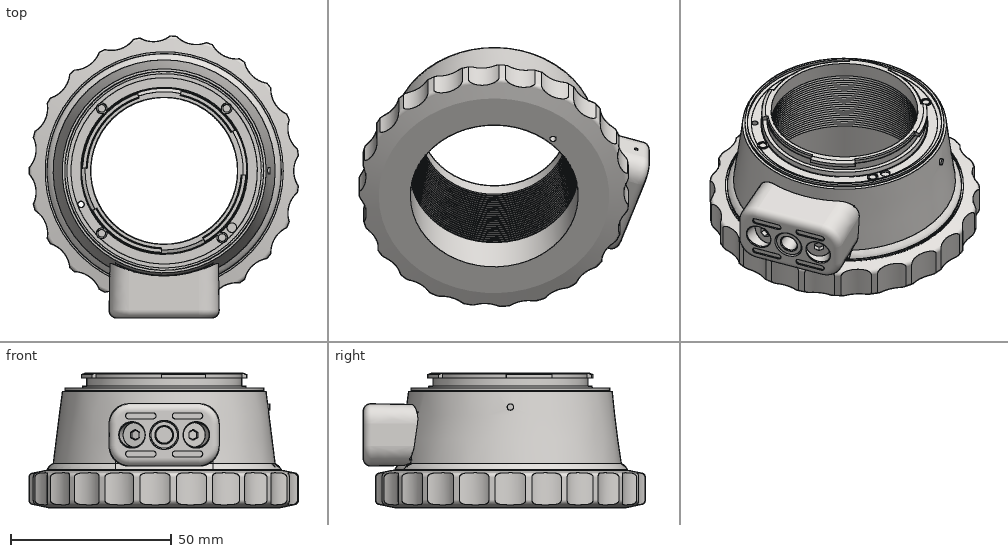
import cadquery as cq
import math

grip_radius = 42.2
grip_height = 11.95
tooth_count = 23
tooth_half_angle = 1.36
valley_radius = 40.5
face_cone_radius = 36.0
shoulder_radius = 40.9
face_cone_rise = 1.05
tooth_rounding_height = 1.3
tooth_rounding_bulge = 0.36
groove_outer_radius = 37.2
groove_floor = 11.3

cone_top = 36.4
cone_top_radius = 31.85
cone_foot = 13.9
cone_foot_radius = 34.67
flare_radius = 36.6
flare_sag = 0.22

neck_radius = 30.9
plate_bottom = 36.6
plate_top = 36.75
plate_radius = 31.1
plate_step_radius = 29.1
plate_step_depth = 0.1
lip_inner_radius = 30.35
lip_top = 37.5
ridge_top = 38.0
ridge_radius = 25.8
ridge_bevel = 0.3
ridge_gap = 0.3
ridge_gap_depth = 0.3
collar_radius = 24.25
flange_bottom = 40.5
overall_height = 42.1
flange_radius = 24.4
flange_bevel = 0.35
claw_radius = 25.85
claw_top_radius = 24.7
claw_bevel_height = 0.5
claw_sectors = [(-3, 30), (78, 109), (178, 209), (268, 300)]

throat_radius = 22.9
ridges_top = 37.1
ridge_count = 23
ridge_pitch = 1.0
ridge_depth = 0.5
lower_bore_radius = 26.2

mount_circle_radius = 27.6
mount_screw_angles = [45, 135, 225, -49]
mount_screw_radius = 1.65
mount_screw_gap = 0.45
mount_screw_gap_depth = 0.3
index_dimple_angle = -40
index_dimple_radius = 1.5
index_dimple_depth = 0.8
pin_hole_circle_radius = 28.0
pin_hole_angle = 202
pin_hole_radius = 0.95
index_stud_radius = 1.0
index_stud_height = 31.5
index_stud_reach = 33.0

foot_width = 34.5
foot_height = 19.6
foot_corner = 6.3
foot_front = -46.0
foot_length = 24.0
foot_center = 22.8
foot_taper = 1.0
foot_edge_rounding = 2.4
foot_gap = 0.5
seat_half_width = 15.2
seat_depth = 0.45
seat_top = 30.0
slot_length = 9.5
slot_width = 1.9
slot_depth = 0.5
slot_offset_x = 7.3
slot_offset_z = 5.95
thread_radius = 2.6
thread_bevel = 0.3
thread_depth = 8.0
insert_radius = 4.15
insert_bevel = 0.4
screw_offset = 10.05
screw_tilt = 18.0
screw_head_radius = 3.85
screw_mouth_bevel = 0.3
screw_head_depth = 2.85
hex_across_corners = 3.3
hex_depth = 1.6
set_screw_y = -41.0
set_screw_radius = 0.55
set_screw_depth = 2.0


def polar(radius, angle):
    turn = math.radians(angle)
    return (radius * math.cos(turn), radius * math.sin(turn))


def tube(bottom, top, outer, inner):
    ring = cq.Workplane("XY").workplane(offset=bottom).circle(outer)
    return ring.circle(inner).extrude(top - bottom)


def disc(bottom, top, radius):
    return cq.Workplane("XY").workplane(offset=bottom).circle(radius).extrude(top - bottom)


def cone_disc(bottom, top, bottom_radius, top_radius):
    profile = [(0, bottom), (bottom_radius, bottom), (top_radius, top), (0, top)]
    return cq.Workplane("XZ").polyline(profile).close().revolve(360, (0, 0), (0, 1))


def cone_shell(offset):
    """Solid cone with its flared base, its side moved outward by the offset."""
    return (
        cq.Workplane("XZ")
        .moveTo(0, grip_height)
        .lineTo(flare_radius + offset, grip_height)
        .sagittaArc((cone_foot_radius + offset, cone_foot), -flare_sag)
        .lineTo(cone_top_radius + offset, cone_top)
        .lineTo(0, cone_top)
        .close()
        .revolve(360, (0, 0), (0, 1))
    )


def make_grip_ring():
    upper_shoulder = grip_height - face_cone_rise
    lower_land = face_cone_rise + tooth_rounding_height
    ring = (
        cq.Workplane("XZ")
        .lineTo(face_cone_radius, 0)
        .lineTo(shoulder_radius, face_cone_rise)
        .sagittaArc((grip_radius, lower_land), -tooth_rounding_bulge)
        .lineTo(grip_radius, grip_height - lower_land)
        .sagittaArc((shoulder_radius, upper_shoulder), -tooth_rounding_bulge)
        .lineTo(face_cone_radius, grip_height)
        .lineTo(0, grip_height)
        .close()
        .revolve(360, (0, 0), (0, 1))
    )
    pitch = 360 / tooth_count
    half_scallop = math.radians(pitch / 2 - tooth_half_angle)
    half_chord = grip_radius * math.sin(half_scallop)
    scallop_sag = grip_radius * math.cos(half_scallop) - valley_radius
    scallop_radius = (half_chord**2 + scallop_sag**2) / (2 * scallop_sag)
    for index in range(tooth_count):
        x, y = polar(valley_radius + scallop_radius, index * pitch)
        ring = ring.cut(disc(0, grip_height, scallop_radius).translate((x, y, 0)))
    return ring.cut(tube(groove_floor, grip_height, groove_outer_radius, flare_radius))


def make_claw(start, end):
    bevel_bottom = overall_height - claw_bevel_height
    return (
        cq.Workplane("XZ")
        .moveTo(throat_radius, flange_bottom)
        .lineTo(claw_radius, flange_bottom)
        .lineTo(claw_radius, bevel_bottom)
        .lineTo(claw_top_radius, overall_height)
        .lineTo(throat_radius, overall_height)
        .close()
        .revolve(end - start, (0, 0), (0, 1))
        .rotate((0, 0, 0), (0, 0, 1), start)
    )


def make_mount():
    mount = disc(cone_top, plate_bottom, neck_radius)
    mount = mount.union(disc(plate_bottom, plate_top, plate_radius))
    step_floor = plate_top - plate_step_depth
    mount = mount.cut(tube(step_floor, plate_top, lip_inner_radius, plate_step_radius))
    mount = mount.union(tube(plate_top, lip_top, plate_radius, lip_inner_radius))
    ridge_gap_floor = plate_top - ridge_gap_depth
    mount = mount.cut(tube(ridge_gap_floor, plate_top, ridge_radius + ridge_gap, ridge_radius))
    mount = mount.union(cone_disc(plate_top, ridge_top, ridge_radius, ridge_radius - ridge_bevel))
    mount = mount.union(disc(ridge_top, flange_bottom, collar_radius))
    flange = disc(flange_bottom, overall_height, flange_radius)
    mount = mount.union(flange.faces(">Z").edges().chamfer(flange_bevel))
    for start, end in claw_sectors:
        mount = mount.union(make_claw(start, end))
    return mount


def make_bore():
    """Throat, saw-tooth ridges that widen downward, and the plain lower bore."""
    ridge_growth = (lower_bore_radius - throat_radius) / ridge_count
    bore = cq.Workplane("XZ").moveTo(0, overall_height).lineTo(throat_radius, overall_height)
    bore = bore.lineTo(throat_radius, ridges_top)
    for index in range(1, ridge_count + 1):
        crest = throat_radius + ridge_growth * (index - 1)
        next_crest = throat_radius + ridge_growth * index
        bore = bore.lineTo(crest + ridge_depth, ridges_top - ridge_pitch * (index - 1))
        bore = bore.lineTo(next_crest, ridges_top - ridge_pitch * index)
    return (
        bore.lineTo(lower_bore_radius, 0)
        .lineTo(0, 0)
        .close()
        .revolve(360, (0, 0), (0, 1))
    )


def make_seat_cut():
    """Shallow seat in the cone wall that takes the tongue of the foot."""
    seat = cq.Workplane("XY").box(
        2 * seat_half_width, flare_radius, seat_top - grip_height, centered=(True, False, False)
    )
    return seat.translate((0, -flare_radius, grip_height)).cut(cone_shell(-seat_depth))


def make_adapter():
    adapter = make_grip_ring().union(cone_shell(0)).union(make_mount()).cut(make_bore())
    adapter = adapter.cut(make_seat_cut())

    for angle in mount_screw_angles:
        x, y = polar(mount_circle_radius, angle)
        gap = tube(
            plate_top - mount_screw_gap_depth,
            ridge_top,
            mount_screw_radius,
            mount_screw_radius - mount_screw_gap,
        )
        adapter = adapter.cut(gap.translate((x, y, 0)))

    x, y = polar(mount_circle_radius, index_dimple_angle)
    dimple = disc(plate_top - index_dimple_depth, ridge_top, index_dimple_radius)
    adapter = adapter.cut(dimple.translate((x, y, 0)))

    x, y = polar(pin_hole_circle_radius, pin_hole_angle)
    adapter = adapter.cut(disc(0, overall_height, pin_hole_radius).translate((x, y, 0)))

    stud_start = cone_top_radius - index_stud_radius
    stud = (
        cq.Workplane("YZ", origin=(stud_start, 0, index_stud_height))
        .circle(index_stud_radius)
        .extrude(index_stud_reach - stud_start)
    )
    return adapter.union(stud)


def make_foot_block():
    front_plane = cq.Plane(origin=(0, foot_front, foot_center), xDir=(-1, 0, 0), normal=(0, 1, 0))
    outline = cq.Sketch().rect(foot_width, foot_height).vertices().fillet(foot_corner)
    block = cq.Workplane(front_plane).placeSketch(outline).extrude(foot_length, taper=foot_taper)
    return block.faces("<Y").edges().fillet(foot_edge_rounding)


def shape_foot_back(block):
    """Saddle just clear of the cone, with a tongue that fills the seat."""
    tongue_zone = cq.Workplane("XY").box(
        2 * seat_half_width, 2 * abs(foot_front), seat_top, centered=(True, True, False)
    )
    saddle = block.cut(cone_shell(foot_gap))
    tongue = block.intersect(tongue_zone).cut(cone_shell(-seat_depth))
    return saddle.union(tongue)


def front_workplane(x):
    return cq.Workplane("XZ", origin=(x, foot_front, foot_center))


def front_bevel(x, depth, radius, bevel):
    """45-degree countersink that narrows to the radius, starting at a depth below the front."""
    return (
        front_workplane(x)
        .workplane(offset=-depth)
        .circle(radius + bevel)
        .workplane(offset=-bevel)
        .circle(radius)
        .loft()
    )


def make_screw_pocket(side):
    """Screw-head counterbore with a hex socket, leaning toward the cone axis."""
    pocket = (
        front_workplane(0)
        .workplane(offset=-screw_head_depth)
        .circle(screw_head_radius)
        .extrude(2 * screw_head_depth)
    )
    socket = (
        front_workplane(0)
        .workplane(offset=-screw_head_depth)
        .transformed(rotate=(0, 0, 90))
        .polygon(6, hex_across_corners)
        .extrude(-hex_depth)
    )
    pivot = (0, foot_front, foot_center)
    axis_end = (0, foot_front, foot_center + 1)
    leaning = pocket.union(socket).rotate(pivot, axis_end, side * screw_tilt)
    return leaning.translate((side * screw_offset, 0, 0))


def make_foot():
    foot = shape_foot_back(make_foot_block())

    slot_points = [
        (x * slot_offset_x, z * slot_offset_z) for x in (-1, 1) for z in (-1, 1)
    ]
    slots = front_workplane(0).pushPoints(slot_points).slot2D(slot_length, slot_width)
    foot = foot.cut(slots.extrude(-slot_depth))

    insert_bore = front_bevel(0, 0, insert_radius, insert_bevel)
    thread_mouth = front_bevel(0, insert_bevel, thread_radius, thread_bevel)
    thread_hole = front_workplane(0).circle(thread_radius).extrude(-thread_depth)
    foot = foot.cut(insert_bore).cut(thread_mouth).cut(thread_hole)

    for side in (-1, 1):
        foot = foot.cut(make_screw_pocket(side))
        mouth = front_bevel(side * screw_offset, 0, screw_head_radius, screw_mouth_bevel)
        foot = foot.cut(mouth)

    set_screw_hole = (
        cq.Workplane("YZ", origin=(-foot_width / 2, set_screw_y, foot_center))
        .circle(set_screw_radius)
        .extrude(set_screw_depth)
    )
    return foot.cut(set_screw_hole)


adapter = make_adapter()
foot = make_foot()
result = cq.Compound.makeCompound([adapter.val(), foot.val()])